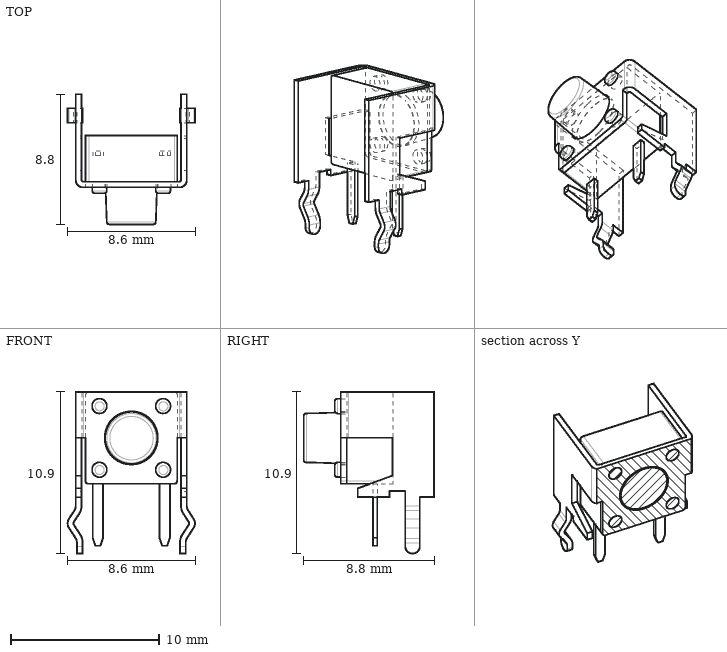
import cadquery as cq
import math


case_size = 6.2
case_back = 3.52
case_edge_radius = 0.22
top = case_size / 2

sheet = 0.4
bracket_width = 7.5
bracket_back = 6.3
fold_radius = 0.5
half_bracket = bracket_width / 2
button_hole_radius = 1.8

wall_drop = 7.1
window_back = 3.49
window_top_drop = top
window_back_drop = 5.65
nose_front = 1.15
nose_drop = 6.5
notch_front = 3.31
notch_drop = 6.68

leg_width = 1.0
leg_front = 4.35
leg_drop = 10.9
leg_span = 8.6
bend_radius = 0.56
bend_angle = math.radians(33)
first_bend_drop = 7.68
lower_slope_height = 0.69
round_end_gap = 0.001

button_length = 2.5
button_foot_radius = 1.75
button_tip_radius = 1.66
button_edge_radius = 0.2

stake_radius = 0.5
stake_height = 0.4
stake_edge_radius = 0.2
stake_offset = 2.15
stake_places = [(x, z) for x in (-stake_offset, stake_offset) for z in (-stake_offset, stake_offset)]

pin_width = 0.72
pin_thickness = 0.3
pin_tip_width = 0.35
pin_taper = 0.55
pin_drop = 10.38
pin_spacing = 4.5
pin_center = 2.33


def plane_at(y):
    """Plane facing the front, with local X along X and local Y along Z."""
    return cq.Workplane("XZ", origin=(0, y, 0))


def make_case():
    """Square housing with its long edges rounded, behind the plate."""
    case = plane_at(case_back).rect(case_size, case_size).extrude(case_back - sheet)
    return case.edges("|Y").fillet(case_edge_radius)


def make_button():
    """Tapered round button with a rounded rim, standing on the housing front."""
    button = (
        plane_at(sheet)
        .circle(button_foot_radius)
        .workplane(offset=sheet + button_length)
        .circle(button_tip_radius)
        .loft()
    )
    return button.faces("<Y").edges().fillet(button_edge_radius)


def make_stakes():
    """Four round-headed stakes that pass through the plate."""
    stakes = plane_at(sheet).pushPoints(stake_places).circle(stake_radius).extrude(sheet + stake_height)
    return stakes.faces("<Y").edges().fillet(stake_edge_radius)


def make_pin(x):
    """Flat solder pin below the housing, tapered at its tip."""
    half = pin_width / 2
    half_tip = pin_tip_width / 2
    tip = top - pin_drop
    return (
        plane_at(pin_center + pin_thickness / 2)
        .moveTo(x - half, -top)
        .lineTo(x + half, -top)
        .lineTo(x + half, tip + pin_taper)
        .lineTo(x + half_tip, tip)
        .lineTo(x - half_tip, tip)
        .lineTo(x - half, tip + pin_taper)
        .close()
        .extrude(pin_thickness)
    )


def make_switch():
    """Housing with its button, stakes and solder pins, as one body."""
    switch = make_case().union(make_button()).union(make_stakes())
    for x in (-pin_spacing / 2, pin_spacing / 2):
        switch = switch.union(make_pin(x))
    return switch


def make_channel():
    """Sheet folded into a U, as tall as the side walls."""
    def upright_block(width, front):
        return (
            cq.Workplane("XY", origin=(0, front, top))
            .rect(width, bracket_back - front, centered=(True, False))
            .extrude(-wall_drop)
        )

    outside = upright_block(bracket_width, 0).edges("|Z and <Y").fillet(fold_radius)
    inside = upright_block(bracket_width - 2 * sheet, sheet).edges("|Z and <Y").fillet(fold_radius - sheet)
    return outside.cut(inside)


def make_wall_cutout():
    """Everything removed from the lower front of both side walls, right across the bracket."""
    return (
        cq.Workplane("YZ", origin=(-half_bracket, 0, top))
        .moveTo(0, -window_top_drop)
        .lineTo(window_back, -window_top_drop)
        .lineTo(window_back, -window_back_drop)
        .lineTo(nose_front, -nose_drop)
        .lineTo(nose_front, -wall_drop)
        .lineTo(0, -wall_drop)
        .close()
        .extrude(bracket_width)
    )


def make_notch():
    """Shallow notch in the bottom edge of both side walls, in front of the legs."""
    return (
        cq.Workplane("YZ", origin=(-half_bracket, 0, top))
        .moveTo(notch_front, -notch_drop)
        .lineTo(leg_front, -notch_drop)
        .lineTo(leg_front, -wall_drop)
        .lineTo(notch_front, -wall_drop)
        .close()
        .extrude(bracket_width)
    )


def arc_points(center, radius, angles):
    """Points on a circle, one for each angle."""
    return [(center[0] + radius * math.cos(a), center[1] + radius * math.sin(a)) for a in angles]


def leg_bends(depth):
    """Three bend arcs, top to bottom, of the right leg's face at this depth below its outward face."""
    sideways_per_bend = bend_radius * (1 - math.cos(bend_angle))
    height_per_bend = bend_radius * math.sin(bend_angle)
    kink_x = leg_span / 2
    upper_shift = kink_x - half_bracket
    upper_slope_height = (upper_shift - 2 * sideways_per_bend) / math.tan(bend_angle)
    lower_shift = 2 * sideways_per_bend + lower_slope_height * math.tan(bend_angle)

    upper_z = top - first_bend_drop
    kink_z = upper_z - 2 * height_per_bend - upper_slope_height
    lower_z = kink_z - 2 * height_per_bend - lower_slope_height
    foot_x = kink_x - lower_shift

    hollow_radius = bend_radius + depth
    kink_radius = bend_radius - depth
    upper_angles = (math.pi, math.pi + bend_angle / 2, math.pi + bend_angle)
    kink_angles = (bend_angle, 0, -bend_angle)
    lower_angles = (math.pi - bend_angle, math.pi - bend_angle / 2, math.pi)
    return [
        arc_points((half_bracket + bend_radius, upper_z), hollow_radius, upper_angles),
        arc_points((kink_x - bend_radius, kink_z), kink_radius, kink_angles),
        arc_points((foot_x + bend_radius, lower_z), hollow_radius, lower_angles),
    ]


def make_right_leg():
    """Zigzag snap-in leg below the right side wall, with a full round end."""
    foot_z = top - leg_drop
    wall_bottom = top - wall_drop
    outward = leg_bends(0)
    inward = leg_bends(sheet)
    leg = plane_at(leg_front + leg_width).moveTo(half_bracket, wall_bottom)
    for start, middle, end in outward:
        leg = leg.lineTo(*start).threePointArc(middle, end)
    leg = leg.lineTo(outward[-1][-1][0], foot_z).lineTo(inward[-1][-1][0], foot_z)
    for end, middle, start in reversed(inward):
        leg = leg.lineTo(*start).threePointArc(middle, end)
    leg = leg.lineTo(half_bracket - sheet, wall_bottom).close().extrude(leg_width)
    return leg.faces("<Z").edges("|X").fillet(leg_width / 2 - round_end_gap)


def make_lower_plate():
    """Half of the front plate below the button axis, rounded at its bottom corners."""
    plate = plane_at(sheet).rect(case_size, top, centered=(True, False)).extrude(sheet)
    plate = plate.translate((0, 0, -top))
    return plate.edges("|Y and <Z").fillet(case_edge_radius)


def make_bracket():
    """Folded bracket with its snap-in legs, fitted around the switch."""
    bracket = make_channel().cut(make_wall_cutout()).cut(make_notch()).union(make_lower_plate())
    right_leg = make_right_leg()
    bracket = bracket.union(right_leg).union(right_leg.mirror("YZ"))
    return bracket.cut(make_stakes()).cut(plane_at(sheet).circle(button_hole_radius).extrude(sheet))


switch = make_switch()
bracket = make_bracket()

result = cq.Compound.makeCompound([switch.val(), bracket.val()])